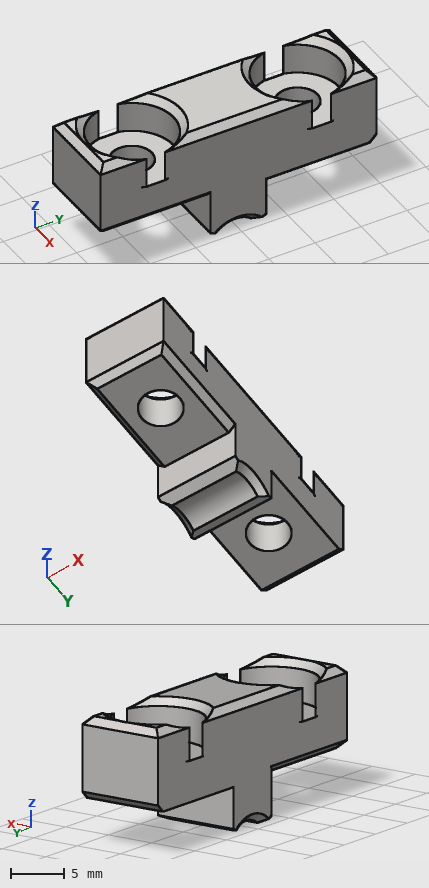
import cadquery as cq

length = 30.0
width = 8.75
total_height = 12.6
bar_height = 8.0
edge_chamfer = 0.75

hole_spacing = 18.0
hole_diameter = 4.3
counterbore_diameter = 9.0
counterbore_depth = 4.0

lug_length = 6.05
lug_drop = total_height - bar_height
tip_height = 0.55
groove_radius = 3.0
groove_depth = 0.6
tip_half_spacing = (groove_radius**2 - (groove_radius - groove_depth) ** 2) ** 0.5


def half_bar(direction):
    """Half of the bar, reaching from Y = 0 towards +Y (1) or -Y (-1)."""
    return (
        cq.Workplane("XY")
        .box(width, length / 2, bar_height, centered=(True, True, False))
        .translate((0, direction * length / 4, 0))
    )


def make_bar():
    back = half_bar(1).faces("<Z").edges(">Y").chamfer(edge_chamfer)
    front = half_bar(-1).faces("<Z").edges("not >Y").chamfer(edge_chamfer)
    return back.union(front)


def make_lug():
    half_length = lug_length / 2
    return (
        cq.Workplane("YZ")
        .moveTo(-half_length, edge_chamfer)
        .lineTo(-half_length, tip_height - lug_drop)
        .lineTo(-tip_half_spacing, -lug_drop)
        .lineTo(tip_half_spacing, -lug_drop)
        .lineTo(half_length, tip_height - lug_drop)
        .lineTo(half_length, edge_chamfer)
        .close()
        .extrude(width / 2, both=True)
    )


def make_groove():
    """Round groove along X, flared by a chamfer at both ends."""
    axis_height = groove_depth - groove_radius - lug_drop
    return (
        cq.Workplane("XY")
        .moveTo(-width / 2, 0)
        .lineTo(-width / 2, groove_radius + edge_chamfer)
        .lineTo(-width / 2 + edge_chamfer, groove_radius)
        .lineTo(width / 2 - edge_chamfer, groove_radius)
        .lineTo(width / 2, groove_radius + edge_chamfer)
        .lineTo(width / 2, 0)
        .close()
        .revolve(360, (0, 0, 0), (1, 0, 0))
        .translate((0, 0, axis_height))
    )


def make_screw_hole(y_position):
    """Through hole with a counterbore that opens out at the top."""
    counterbore_radius = counterbore_diameter / 2
    floor_height = bar_height - counterbore_depth
    return (
        cq.Workplane("XZ")
        .lineTo(hole_diameter / 2, 0)
        .lineTo(hole_diameter / 2, floor_height)
        .lineTo(counterbore_radius, floor_height)
        .lineTo(counterbore_radius, bar_height - edge_chamfer)
        .lineTo(counterbore_radius + edge_chamfer, bar_height)
        .lineTo(0, bar_height)
        .close()
        .revolve(360, (0, 0, 0), (0, 1, 0))
        .translate((0, y_position, 0))
    )


result = make_bar().union(make_lug()).clean()
result = result.faces(">Z").edges().chamfer(edge_chamfer)
result = result.cut(make_groove())
for side in (-1, 1):
    result = result.cut(make_screw_hole(side * hole_spacing / 2))